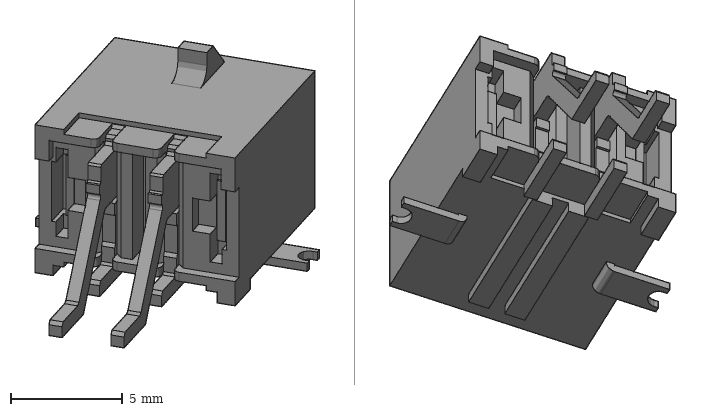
import cadquery as cq


total_length = 15.9

body_width = 9.65
body_length = 9.89
body_top = 7.35
body_bottom = 0.52

bay_depth = 0.5
bay_bottom = 1.21
bay_top = 6.68
bay_half_width = 4.15
side_opening_top = 5.66
recess_half_width = 3.43
recess_depth = 1.9
plate_top = 7.1
plate_bottom = 0.76
groove_width = 0.64

terminal_pitch = 2.99
terminal_width = 0.64
terminal_underside = 0.03
terminal_root = recess_depth
short_foot_end = -1.35
long_foot_end = body_length - total_length
slot_depth = 1.83
slot_mouth = 0.32
foot_top = 0.76
tip_length = 0.13
tip_height = 0.19
upper_terminal_top = 6.49
upper_terminal_underside = 4.1
barb_top = 6.92
rib_rear = -1.4
head_rear = -1.2
lower_terminal_top = 3.83
lower_terminal_rear = 0.51
waist_rear = 0.62
waist_top = 3.25

corner_foot_inner = 3.96
rail_inner = 0.4
rail_outer = 1.38
rail_end = 8.89

latch_width = 1.4
latch_top = 8.76
latch_front = 9.29
latch_back = 7.09
latch_radius = 0.78

tab_span = 13.1
tab_center_y = 5.26
tab_width = 1.53
tab_thickness = 0.41
tab_bend_radius = 0.4
tab_notch_width = 0.97
tab_notch_depth = 0.7
pocket_inner = recess_half_width
window_depth = 1.27
slit_depth = 1.43
blade_start = 1.3
slit_outer = 4.0
slit_bottom = 1.73
slit_top = 6.14
channel_outer = 4.21
channel_depth = 1.91
channel_bottom = 2.45
channel_top = 5.42
window_inner = 2.58
window_bottom = 3.12
window_top = 4.75


def block(x0, x1, y0, y1, z0, z1):
    """Box between two opposite corners."""
    return cq.Workplane("XY").box(x1 - x0, y1 - y0, z1 - z0, centered=False).translate((x0, y0, z0))


def centered_block(half_width, y0, y1, z0, z1):
    """Box centred on X = 0."""
    return block(-half_width, half_width, y0, y1, z0, z1)


def both_sides(shape):
    """The shape joined with its mirror image across X = 0."""
    return shape.union(shape.mirror("YZ"))


def housing():
    half_width = body_width / 2
    body = centered_block(half_width, 0, body_length, body_bottom, body_top)

    body = body.cut(centered_block(half_width, 0, bay_depth, bay_bottom, side_opening_top))
    body = body.cut(centered_block(bay_half_width, 0, bay_depth, bay_bottom, bay_top))
    body = body.cut(centered_block(groove_width / 2, 0, recess_depth, bay_bottom, bay_top))

    body = body.cut(centered_block(recess_half_width, 0, recess_depth, plate_top, body_top))
    body = body.cut(centered_block(recess_half_width, 0, recess_depth, body_bottom, plate_bottom))

    corner_foot = block(corner_foot_inner, half_width, 0, recess_depth, 0, body_bottom)
    rail = block(rail_inner, rail_outer, recess_depth, rail_end, 0, body_bottom)
    return body.union(both_sides(corner_foot)).union(both_sides(rail))


def terminal_slot():
    """Slot for one terminal: rounded mouth through the plates, chamfered mouth in the bay wall."""
    half_width = terminal_width / 2
    mouth_half_width = half_width + slot_mouth
    through = centered_block(half_width, 0, slot_depth, plate_bottom, plate_top)
    rounded = (
        cq.Workplane("XY", origin=(0, 0, plate_bottom))
        .moveTo(-mouth_half_width, 0)
        .radiusArc((-half_width, slot_mouth), -slot_mouth)
        .lineTo(half_width, slot_mouth)
        .radiusArc((mouth_half_width, 0), -slot_mouth)
        .close()
        .extrude(plate_top - plate_bottom)
    )
    chamfered = (
        cq.Workplane("XY", origin=(0, 0, bay_bottom))
        .moveTo(-mouth_half_width, bay_depth)
        .lineTo(-half_width, bay_depth + slot_mouth)
        .lineTo(half_width, bay_depth + slot_mouth)
        .lineTo(mouth_half_width, bay_depth)
        .close()
        .extrude(bay_top - bay_bottom)
    )
    return through.union(rounded).union(chamfered)


def solder_foot_tip(end_y):
    """Bevelled end of a terminal foot, from its underside to its top."""
    return [
        (end_y, terminal_underside),
        (end_y, foot_top - tip_height),
        (end_y + tip_length, foot_top),
    ]


def upper_terminal():
    """Terminal leaving high in the slot and sloping down to a long solder foot."""
    leg = solder_foot_tip(long_foot_end) + [(-4.07, foot_top), (-3.91, 0.87), (-1.3, 4.79)]
    rear_rib = [(rib_rear, 5.1), (rib_rear, 5.56), (-1.25, 5.56), (head_rear, 5.66)]
    head = [(head_rear, 6.38), (-1.11, upper_terminal_top)]
    barb = [
        (0.85, upper_terminal_top),
        (0.99, 6.63),
        (0.99, 6.77),
        (1.13, barb_top),
        (1.75, barb_top),
        (slot_depth, plate_top),
    ]
    root = [
        (terminal_root, plate_top),
        (terminal_root, upper_terminal_underside),
        (-0.54, upper_terminal_underside),
    ]
    return (
        cq.Workplane("YZ")
        .polyline(leg)
        .threePointArc((-1.24, 4.98), (-1.34, 5.1))
        .polyline(rear_rib + head + barb + root, includeCurrent=True)
        .threePointArc((-0.68, 4.07), (-0.8, 3.96))
        .lineTo(-3.35, terminal_underside)
        .close()
        .extrude(terminal_width / 2, both=True)
    )


def lower_terminal():
    """Terminal standing in the slot with a short solder foot."""
    foot = solder_foot_tip(short_foot_end) + [(0.35, foot_top), (lower_terminal_rear, 0.86)]
    waist = [(lower_terminal_rear, 1.62), (waist_rear, 1.81), (waist_rear, waist_top)]
    head = [(lower_terminal_rear, waist_top), (lower_terminal_rear, lower_terminal_top)]
    root = [(terminal_root, lower_terminal_top), (terminal_root, terminal_underside)]
    outline = foot + waist + head + root
    return cq.Workplane("YZ").polyline(outline).close().extrude(terminal_width / 2, both=True)


def latch():
    """45 degree ramp with a flat top and a concave back."""
    rise = latch_top - body_top
    return (
        cq.Workplane("YZ")
        .moveTo(latch_front, body_top)
        .lineTo(latch_front - rise, latch_top)
        .lineTo(latch_back, latch_top)
        .lineTo(latch_back, body_top + latch_radius)
        .radiusArc((latch_back - latch_radius, body_top), latch_radius)
        .close()
        .extrude(latch_width / 2, both=True)
    )


def tab_pocket():
    """Pocket in the bay wall at +X that shows the upright leg of the solder tab."""
    slit = block(pocket_inner, slit_outer, 0, slit_depth, slit_bottom, slit_top)
    channel = block(pocket_inner, channel_outer, 0, channel_depth, channel_bottom, channel_top)
    window = block(window_inner, pocket_inner, 0, window_depth, window_bottom, window_top)
    return slit.union(channel).union(window)


def solder_tab():
    """L-shaped metal tab at +X: flat notched foot, rounded bend and upright leg."""
    tip = tab_span / 2
    y0 = tab_center_y - tab_width / 2
    y1 = tab_center_y + tab_width / 2
    foot_z1 = terminal_underside + tab_thickness
    leg_outer = pocket_inner + tab_thickness
    foot = block(pocket_inner, tip, y0, y1, terminal_underside, foot_z1)
    upright = block(pocket_inner, leg_outer, y0, y1, terminal_underside, channel_top)
    bent = foot.union(upright).edges("|Y and <X and <Z").fillet(tab_bend_radius)

    notch_radius = tab_notch_width / 2
    notch_center = tip - tab_notch_depth + notch_radius
    notch_y0 = tab_center_y - notch_radius
    notch_y1 = tab_center_y + notch_radius
    notch_floor = cq.Workplane("XY").center(notch_center, tab_center_y).circle(notch_radius)
    notch_mouth = block(notch_center, tip, notch_y0, notch_y1, 0, foot_z1)
    notch = notch_floor.extrude(foot_z1).union(notch_mouth)
    blade = block(pocket_inner, leg_outer, blade_start, y1, channel_bottom, channel_top)
    return bent.cut(notch).union(blade)


result = housing().cut(both_sides(tab_pocket())).union(latch()).union(both_sides(solder_tab()))

for terminal_x in (-terminal_pitch / 2, terminal_pitch / 2):
    result = result.cut(terminal_slot().translate((terminal_x, 0, 0)))
    result = result.union(upper_terminal().translate((terminal_x, 0, 0)))
    result = result.union(lower_terminal().translate((terminal_x, 0, 0)))